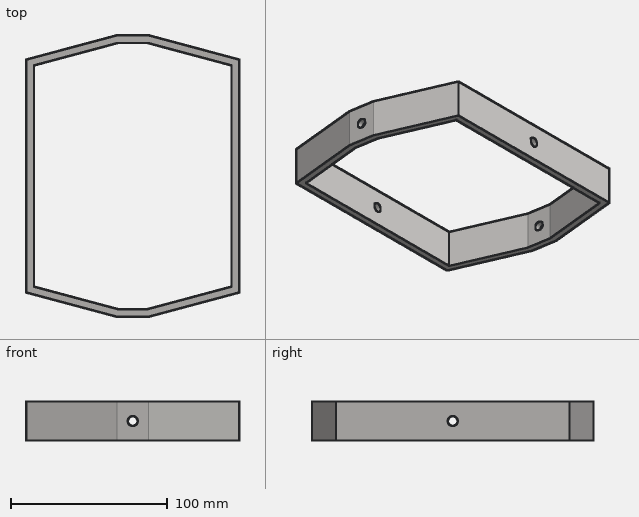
import cadquery as cq
import math

width = 136.0
length = 180.0
height = 25.0
wall = 5.0
end_flat = 20.0
end_slope = 15.0
hole_diameter = 6.1

slope_run = (width - end_flat) / 2
side_length = length - 2 * slope_run * math.tan(math.radians(end_slope))


def outline():
    """Outer eight-sided outline, centred on the origin."""
    half_x, half_y = width / 2, length / 2
    half_flat, half_side = end_flat / 2, side_length / 2
    return cq.Workplane("XY").workplane(offset=-height / 2).polyline([
        (half_x, -half_side),
        (half_x, half_side),
        (half_flat, half_y),
        (-half_flat, half_y),
        (-half_x, half_side),
        (-half_x, -half_side),
        (-half_flat, -half_y),
        (half_flat, -half_y),
    ]).close()


def through_hole(plane, span):
    """Round cutter at mid height that crosses both opposite walls."""
    return cq.Workplane(plane).circle(hole_diameter / 2).extrude(span, both=True)


opening = outline().offset2D(-wall).extrude(height)
frame = outline().extrude(height).cut(opening)

frame = frame.cut(through_hole("XZ", length))
result = frame.cut(through_hole("YZ", width))